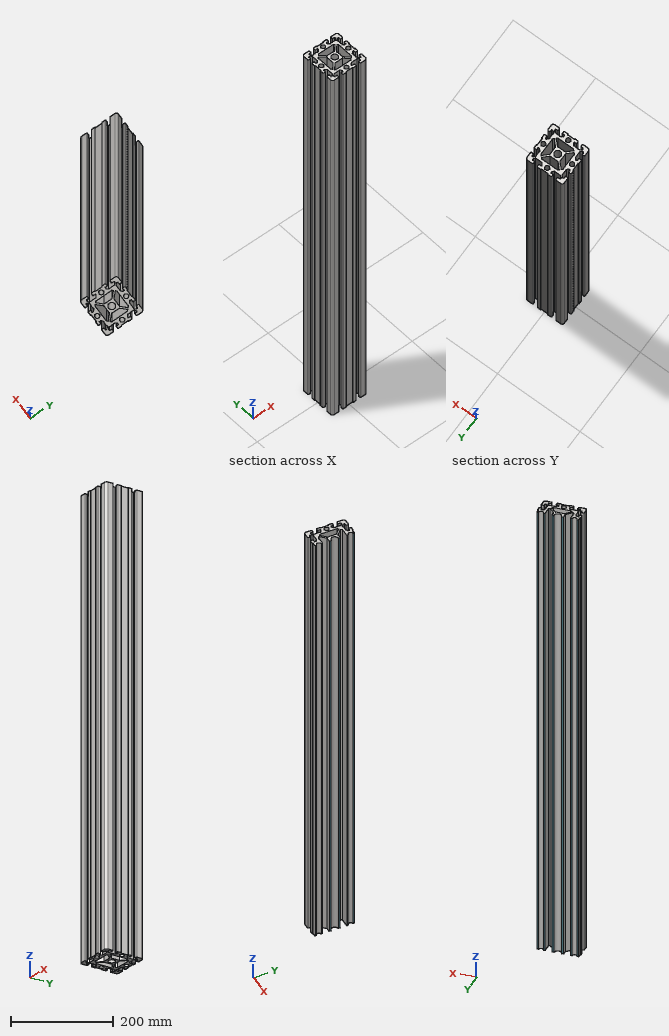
import cadquery as cq

SIDE = 90.0
LENGTH = 1000.0
CORNER_RADIUS = 5.1
HALF = SIDE / 2
SIDE_ANGLES = (0, 90, 180, 270)

SLOT_OFFSET = SIDE / 4
SLOT_OPENING = 10.0
SLOT_WIDTH = 21.4
SLOT_FLOOR_WIDTH = 14.8
SLOT_DEPTH = 12.8
MOUTH_RADIUS = 1.5
LIP_THICKNESS = 6.2
SLOT_WALL_DEPTH = 9.5

GROOVE_WIDTH = 17.0
GROOVE_DEPTH = 1.5
SIDE_BORE_DIAMETER = 10.0
SIDE_BORE_OFFSET = 35.0

CORE_SIDE = 24.4
CORE_BORE_DIAMETER = 15.0
CHAMBER_OUTER = 26.5
WEB_THICKNESS = 3.8
CHAMBER_ROOF_WIDTH = 38.0


def slot_cutter(center_x):
    """T-slot open to +Y, with a rounded mouth and a floor narrower than its middle."""
    half_opening = SLOT_OPENING / 2
    half_mouth = half_opening + MOUTH_RADIUS
    right_wall = [
        (half_opening, -LIP_THICKNESS),
        (SLOT_WIDTH / 2, -LIP_THICKNESS),
        (SLOT_WIDTH / 2, -SLOT_WALL_DEPTH),
        (SLOT_FLOOR_WIDTH / 2, -SLOT_DEPTH),
    ]
    outline = cq.Workplane("XY").center(center_x, HALF).moveTo(half_mouth, 0)
    outline = outline.radiusArc((half_opening, -MOUTH_RADIUS), -MOUTH_RADIUS)
    for point in right_wall:
        outline = outline.lineTo(*point)
    for x, y in reversed(right_wall):
        outline = outline.lineTo(-x, y)
    outline = outline.lineTo(-half_opening, -MOUTH_RADIUS)
    outline = outline.radiusArc((-half_mouth, 0), -MOUTH_RADIUS)
    return outline.close().extrude(LENGTH)


def groove_cutter():
    """Shallow groove along the middle of the +Y side."""
    return (
        cq.Workplane("XY")
        .center(0, HALF - GROOVE_DEPTH / 2)
        .rect(GROOVE_WIDTH, GROOVE_DEPTH)
        .extrude(LENGTH)
    )


def bore_cutter(diameter, center_y):
    """Full-length round bore on the YZ plane of symmetry."""
    return cq.Workplane("XY").center(0, center_y).circle(diameter / 2).extrude(LENGTH)


def chamber_cutter():
    """Chamber between the core, the +Y wall and two webs, its outer corners cut square to the webs."""
    web_shift = WEB_THICKNESS / 2 * 2 ** 0.5
    inner_y = CORE_SIDE / 2
    roof_x = CHAMBER_ROOF_WIDTH / 2
    corner_sum = roof_x + CHAMBER_OUTER
    right = [
        (inner_y - web_shift, inner_y),
        ((corner_sum - web_shift) / 2, (corner_sum + web_shift) / 2),
        (roof_x, CHAMBER_OUTER),
    ]
    left = [(-x, y) for x, y in reversed(right)]
    return cq.Workplane("XY").polyline(right + left).close().extrude(LENGTH)


def side_cutters():
    """Everything removed on the +Y side of the section."""
    return [
        slot_cutter(-SLOT_OFFSET),
        slot_cutter(SLOT_OFFSET),
        groove_cutter(),
        bore_cutter(SIDE_BORE_DIAMETER, SIDE_BORE_OFFSET),
        chamber_cutter(),
    ]


profile = cq.Workplane("XY").rect(SIDE, SIDE).extrude(LENGTH)
profile = profile.edges("|Z").fillet(CORNER_RADIUS)
profile = profile.cut(bore_cutter(CORE_BORE_DIAMETER, 0))
for angle in SIDE_ANGLES:
    for cutter in side_cutters():
        profile = profile.cut(cutter.rotate((0, 0, 0), (0, 0, 1), angle))

result = profile